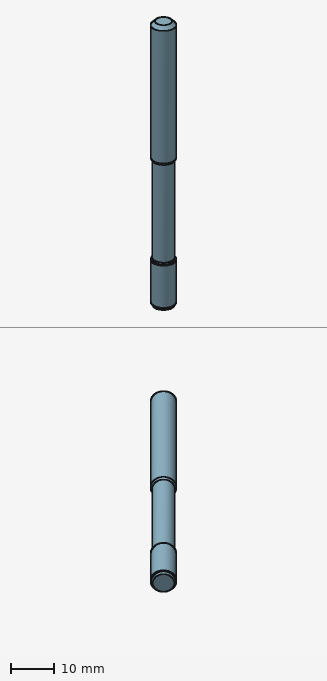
import cadquery as cq
import math

total_length = 75.0
coating_top = 12.0
shank_bottom = 39.0

shank_diameter = 6.0
neck_diameter = 5.3
core_diameter = 5.72
coated_diameter = 6.02
tip_diameter = 5.0

end_chamfer = 1.0
cone_angle = math.radians(30)

shank_radius = shank_diameter / 2
neck_radius = neck_diameter / 2
core_radius = core_diameter / 2
coated_radius = coated_diameter / 2
tip_radius = tip_diameter / 2


def cone_height(large_radius, small_radius):
    """Axial length of a cone between two radii."""
    return (large_radius - small_radius) / math.tan(cone_angle)


neck_top = shank_bottom - cone_height(shank_radius, neck_radius)
core_top = coating_top + cone_height(coated_radius, core_radius)
neck_bottom = coating_top + cone_height(coated_radius, neck_radius)
core_bottom = cone_height(core_radius, tip_radius)
coating_bottom = cone_height(coated_radius, tip_radius)


def turn(profile):
    """Revolve a (radius, height) outline about the Z axis."""
    return cq.Workplane("XZ").polyline(profile).close().revolve(360, (0, 0, 0), (0, 1, 0))


def make_tool_body():
    """One-piece shank, neck and head core."""
    return turn([
        (0, 0),
        (tip_radius, 0),
        (core_radius, core_bottom),
        (core_radius, core_top),
        (neck_radius, neck_bottom),
        (neck_radius, neck_top),
        (shank_radius, shank_bottom),
        (shank_radius, total_length - end_chamfer),
        (shank_radius - end_chamfer, total_length),
        (0, total_length),
    ])


def make_coating():
    """Thin sleeve around the head core, tapered at both ends."""
    return turn([
        (core_radius, core_bottom),
        (coated_radius, coating_bottom),
        (coated_radius, coating_top),
        (core_radius, core_top),
    ])


tool_body = make_tool_body()
coating = make_coating()

result = cq.Compound.makeCompound([tool_body.val(), coating.val()])